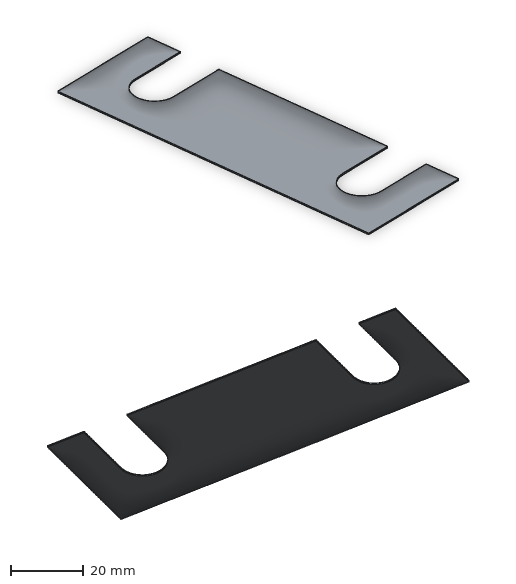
import cadquery as cq

length = 114.3
width = 38.1
thickness = 0.5

slot_width = 14.2
slot_spacing = 2 * length / 3
slot_radius = slot_width / 2
slot_center_y = 0.0
back_edge_y = width / 2


def slot_cutter(center_x):
    """Slot running from its round end out through the back edge."""
    return (
        cq.Workplane("XY")
        .moveTo(center_x - slot_radius, back_edge_y)
        .lineTo(center_x - slot_radius, slot_center_y)
        .threePointArc(
            (center_x, slot_center_y - slot_radius),
            (center_x + slot_radius, slot_center_y),
        )
        .lineTo(center_x + slot_radius, back_edge_y)
        .close()
        .extrude(thickness)
    )


result = cq.Workplane("XY").box(length, width, thickness, centered=(True, True, False))
for side in (-1, 1):
    result = result.cut(slot_cutter(side * slot_spacing / 2))